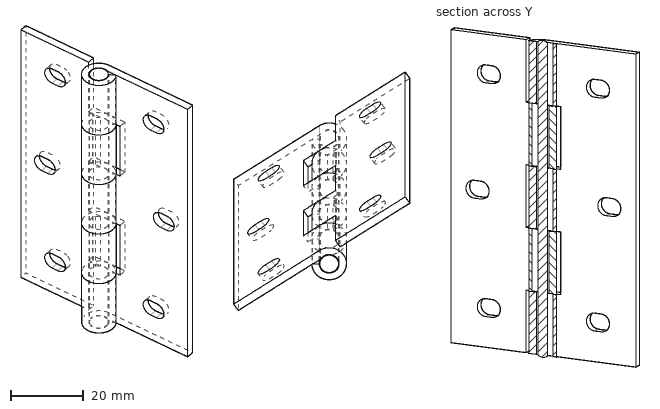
import cadquery as cq
import math

HINGE_WIDTH = 57.0
LEAF_HEIGHT = 89.2
LEAF_THICKNESS = 2.3
HALF_WIDTH = HINGE_WIDTH / 2

KNUCKLE_COUNT = 5
KNUCKLE_RADIUS = 4.8
KNUCKLE_HEIGHT = LEAF_HEIGHT / KNUCKLE_COUNT
ROLL_INNER_RADIUS = KNUCKLE_RADIUS - LEAF_THICKNESS
BORE_RADIUS = 2.8
ROLL_END_ANGLE = 33.0
KNUCKLE_CLEARANCE = 0.55
NOTCH_EDGE = KNUCKLE_RADIUS + KNUCKLE_CLEARANCE

OVERALL_HEIGHT = 92.0
PIN_RADIUS = 2.6
DOME_HEIGHT = (OVERALL_HEIGHT - LEAF_HEIGHT) / 2

SLOT_LENGTH = 7.1
SLOT_WIDTH = 5.1
OUTER_SLOT_X = 16.8
MIDDLE_SLOT_X = 20.3
OUTER_SLOT_Z = 33.3


def polar(radius, angle):
    """Point at a radius and an angle in degrees around the pin axis."""
    radians = math.radians(angle)
    return (radius * math.cos(radians), radius * math.sin(radians))


def make_plate():
    """Flat part of the right-hand leaf, up to the knuckle clearance."""
    return cq.Workplane("XY").box(
        HALF_WIDTH - NOTCH_EDGE, LEAF_THICKNESS, LEAF_HEIGHT, centered=(False, False, True)
    ).translate((NOTCH_EDGE, ROLL_INNER_RADIUS, 0))


def make_knuckle(index):
    """Strip that leaves the plate, rolls over the pin and ends near the plate again.

    Index 0 is the lowest knuckle position.
    """
    bottom = index * KNUCKLE_HEIGHT - LEAF_HEIGHT / 2
    middle_angle = (90 + 360 + ROLL_END_ANGLE) / 2
    roll = (
        cq.Workplane("XY", origin=(0, 0, bottom))
        .moveTo(0, KNUCKLE_RADIUS)
        .threePointArc(polar(KNUCKLE_RADIUS, middle_angle), polar(KNUCKLE_RADIUS, ROLL_END_ANGLE))
        .lineTo(*polar(ROLL_INNER_RADIUS, ROLL_END_ANGLE))
        .threePointArc(polar(ROLL_INNER_RADIUS, middle_angle), (0, ROLL_INNER_RADIUS))
        .close()
        .extrude(KNUCKLE_HEIGHT)
    )
    strip = cq.Workplane("XY").box(
        NOTCH_EDGE, LEAF_THICKNESS, KNUCKLE_HEIGHT, centered=False
    ).translate((0, ROLL_INNER_RADIUS, bottom))
    return roll.union(strip)


def make_slots():
    """Cutters for the three screw slots, the middle one further from the pin."""
    centers = [(OUTER_SLOT_X, -OUTER_SLOT_Z), (MIDDLE_SLOT_X, 0), (OUTER_SLOT_X, OUTER_SLOT_Z)]
    return (
        cq.Workplane("XZ", origin=(0, KNUCKLE_RADIUS, 0))
        .pushPoints(centers)
        .slot2D(SLOT_LENGTH, SLOT_WIDTH)
        .extrude(LEAF_THICKNESS)
    )


def make_leaf(knuckle_indices):
    """Right-hand leaf with bored knuckles at the given positions."""
    leaf = make_plate()
    for index in knuckle_indices:
        leaf = leaf.union(make_knuckle(index))
    bore = cq.Workplane("XY").circle(BORE_RADIUS).extrude(LEAF_HEIGHT / 2, both=True)
    return leaf.cut(bore).cut(make_slots())


def make_pin():
    """Shaft as long as the leaves, with a spherical cap on both ends."""
    shoulder = LEAF_HEIGHT / 2
    tip = shoulder + DOME_HEIGHT
    sphere_radius = (PIN_RADIUS**2 + DOME_HEIGHT**2) / (2 * DOME_HEIGHT)
    sphere_center = tip - sphere_radius
    cap_half_angle = math.asin(PIN_RADIUS / sphere_radius) / 2
    cap_x = sphere_radius * math.sin(cap_half_angle)
    cap_z = sphere_center + sphere_radius * math.cos(cap_half_angle)
    return (
        cq.Workplane("XZ")
        .moveTo(0, -tip)
        .threePointArc((cap_x, -cap_z), (PIN_RADIUS, -shoulder))
        .lineTo(PIN_RADIUS, shoulder)
        .threePointArc((cap_x, cap_z), (0, tip))
        .close()
        .revolve(360, (0, 0, 0), (0, 1, 0))
    )


right_leaf = make_leaf(range(0, KNUCKLE_COUNT, 2))
left_leaf = make_leaf(range(1, KNUCKLE_COUNT, 2)).mirror("YZ")
pin = make_pin()

result = cq.Compound.makeCompound([right_leaf.val(), left_leaf.val(), pin.val()])